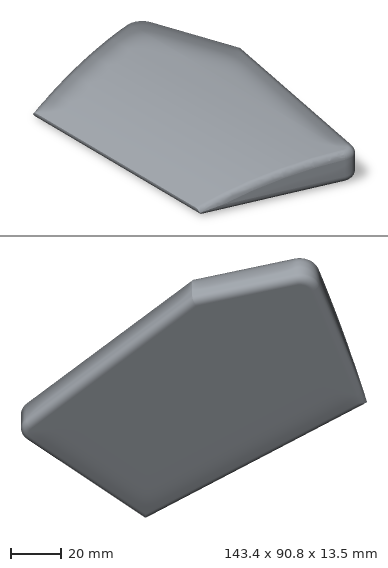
import cadquery as cq
import math

height = 13.5
back_left_length = 50.0
back_left_angle = 30.0
left_length = 76.24
back_length = 103.01
front_angle = 10.0
slope_start_setback = 7.1
front_thickness = 3.1
left_corner_radius = 8.0
back_right_radius = 7.0
edge_radius = 3.0


def step(point, length, angle):
    """Point reached from another by going a length at an angle in degrees."""
    turn = math.radians(angle)
    return (point[0] + length * math.cos(turn), point[1] + length * math.sin(turn))


def distance_from_front(point):
    """Distance of a point behind the front edge, square to that edge."""
    back_x = point[0] - front_left_corner[0]
    back_y = point[1] - front_left_corner[1]
    return back_y * front_direction[0] - back_x * front_direction[1]


left_corner = (0.0, 0.0)
back_left_corner = step(left_corner, back_left_length, back_left_angle)
back_right_corner = step(back_left_corner, back_length, 0)
front_left_corner = step(left_corner, left_length, back_left_angle - 90)
front_direction = (*step((0.0, 0.0), 1.0, front_angle), 0.0)
front_rise = (back_right_corner[0] - front_left_corner[0]) * math.tan(math.radians(front_angle))
front_right_corner = (back_right_corner[0], front_left_corner[1] + front_rise)

slope_start = step(left_corner, slope_start_setback, back_left_angle - 90)
slope_run = distance_from_front(slope_start)
slope_drop = height - front_thickness
slope_radius = (slope_run**2 + slope_drop**2) / (2 * slope_drop)


def make_plate():
    """Five-sided plate of full height with two rounded upright corners."""
    corners = [left_corner, back_left_corner, back_right_corner, front_right_corner, front_left_corner]
    plate = cq.Workplane("XY").polyline(corners).close().extrude(height)
    rounds = ((left_corner, left_corner_radius), (back_right_corner, back_right_radius))
    for (x, y), radius in rounds:
        upright = cq.selectors.NearestToPointSelector((x, y, height / 2))
        plate = plate.edges("|Z").edges(upright).fillet(radius)
    return plate


def make_slope_limit():
    """Long bar with a flat top that curves down, tangent, to the front."""
    reach = 2 * back_length
    along_x, along_y, _ = front_direction
    profile_plane = cq.Plane(
        origin=(*slope_start, 0),
        xDir=(along_y, -along_x, 0),
        normal=(-along_x, -along_y, 0),
    )
    half_sweep = math.asin(slope_run / slope_radius) / 2
    middle = (slope_radius * math.sin(half_sweep), height - slope_radius * (1 - math.cos(half_sweep)))
    return (
        cq.Workplane(profile_plane)
        .moveTo(-reach, 0)
        .lineTo(-reach, height)
        .lineTo(0, height)
        .threePointArc(middle, (slope_run, front_thickness))
        .lineTo(slope_run, 0)
        .close()
        .extrude(reach, both=True)
    )


def round_bottom_rim(body):
    """Round every edge of the flat underside."""
    return body.faces("<Z").edges().fillet(edge_radius)


def round_top_rim(body):
    """Round the flat and sloping upper rims, leaving the front edge sharp."""
    uprights = cq.selectors.ParallelDirSelector(cq.Vector(0, 0, 1))
    along_front = cq.selectors.ParallelDirSelector(cq.Vector(*front_direction))
    reach = 2 * back_length
    margin = edge_radius / 2
    bottom_rim = cq.selectors.BoxSelector((-reach, -reach, -margin), (reach, reach, margin))
    return body.edges(-(uprights + along_front + bottom_rim)).fillet(edge_radius)


sharp_body = make_plate().intersect(make_slope_limit())
result = round_bottom_rim(sharp_body).intersect(round_top_rim(sharp_body))